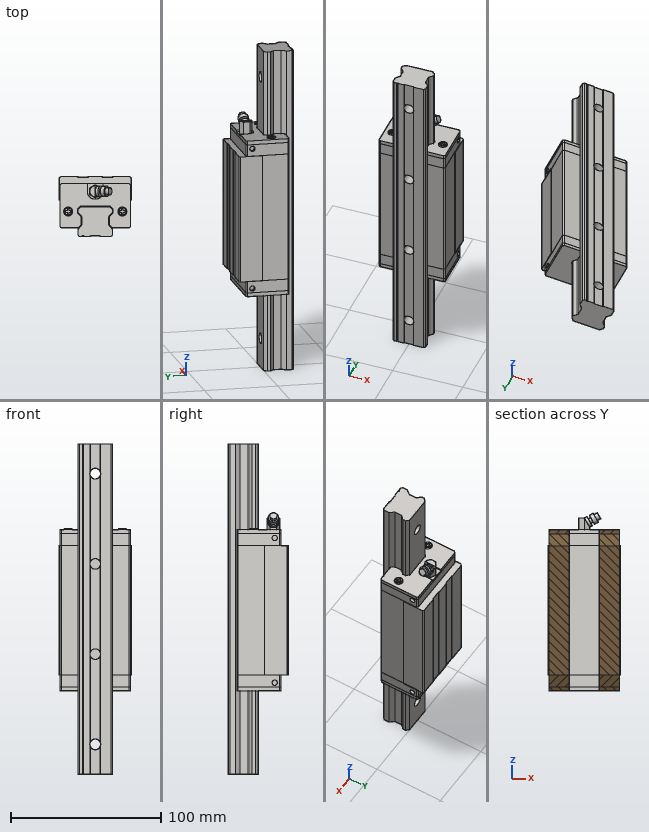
import cadquery as cq
import math

RAIL_LENGTH = 220.0
RAIL_WIDTH = 23.0
RAIL_HEIGHT = 20.0
RAIL_WAIST_WIDTH = 18.0
RAIL_TOP_CHAMFER = 2.0
RAIL_FOOT_CHAMFER = 1.0
HEAD_FLANK_BOTTOM = 15.8
HEAD_KNEE_WIDTH = 19.8
HEAD_KNEE_Y = 14.3
WAIST_TOP = 13.2
WAIST_BOTTOM = 8.0
FOOT_FLANK_TOP = 4.8
RAIL_HOLE_DIAMETER = 7.0
RAIL_HOLE_COUNT = 4
RAIL_HOLE_PITCH = 60.0
FOOT_GROOVE_WIDTH = 7.0
FOOT_GROOVE_FLOOR_WIDTH = 6.2
FOOT_GROOVE_DEPTH = 0.5
MARK_GROOVE_WIDTH = 0.9
MARK_GROOVE_DEPTH = 0.5
MARK_GROOVE_X = -8.1
RUNNING_CLEARANCE = 0.2

CARRIAGE_CENTRE_Z = -0.9
CARRIAGE_BOTTOM = 5.7
CARRIAGE_CHAMFER_X = 1.0
CARRIAGE_CHAMFER_Y = 0.9
BLOCK_LENGTH = 86.2
BLOCK_WIDTH = 48.0
BLOCK_TOP = 40.0
BLOCK_LOWER_WIDTH = 47.0
BLOCK_STEP_Y = 24.2
TOP_GROOVE_WIDTH = 6.8
TOP_GROOVE_DEPTH = 0.5
TOP_GROOVE_X = 8.1
CAP_LENGTH = 8.0
CAP_TOP = 35.2
SEAL_THICKNESS = 2.6
DIMPLE_DIAMETER = 3.5
DIMPLE_DEPTH = 2.2
DIMPLE_Y = 31.0
DIMPLE_FROM_BLOCK = 5.0

SCREW_X = 18.0
SCREW_Y = 16.7
SCREW_BASE_DIAMETER = 6.0
SCREW_TOP_DIAMETER = 4.8
SCREW_HEAD_HEIGHT = 0.7
CROSS_LENGTH = 3.3
CROSS_WIDTH = 1.0
CROSS_DEPTH = 0.5

NIPPLE_Y = 30.1
RECESS_WIDTH = 10.5
RECESS_DEPTH = 1.0
HEX_ACROSS_FLATS = 7.5
HEX_HEIGHT = 9.0
HEX_TOP_DIAMETER = 7.3
HEX_CHAMFER_ANGLE = 30.0
SPOUT_ELEVATION = 30.0
COLLAR_DIAMETER = 7.3
COLLAR_LENGTH = 2.0
NECK_DIAMETER = 3.5
NECK_LENGTH = 1.8
BULB_DIAMETER = 7.0
BULB_LENGTH = 2.9
TIP_DIAMETER = 4.8
TIP_LENGTH = 2.6

CAP_WIDTH = BLOCK_LOWER_WIDTH
BLOCK_END = BLOCK_LENGTH / 2
CAP_END = BLOCK_END + CAP_LENGTH
SEAL_END = CAP_END + SEAL_THICKNESS
SEAL_FACE_Z = CARRIAGE_CENTRE_Z + SEAL_END
RECESS_FLOOR_Z = SEAL_FACE_Z - RECESS_DEPTH


def mirrored_prism(right_side, z_start, length):
    """Prism along Z from the right half of an outline, listed from bottom to top."""
    left_side = [(-x, y) for x, y in reversed(right_side)]
    outline = cq.Workplane("XY", origin=(0, 0, z_start)).polyline(right_side + left_side)
    return outline.close().extrude(length)


def rail_prism(z_start, length):
    half_width = RAIL_WIDTH / 2
    half_waist = RAIL_WAIST_WIDTH / 2
    right_side = [
        (half_width - RAIL_FOOT_CHAMFER, 0),
        (half_width, RAIL_FOOT_CHAMFER),
        (half_width, FOOT_FLANK_TOP),
        (half_waist, WAIST_BOTTOM),
        (half_waist, WAIST_TOP),
        (HEAD_KNEE_WIDTH / 2, HEAD_KNEE_Y),
        (half_width, HEAD_FLANK_BOTTOM),
        (half_width, RAIL_HEIGHT - RAIL_TOP_CHAMFER),
        (half_width - RAIL_TOP_CHAMFER, RAIL_HEIGHT),
    ]
    return mirrored_prism(right_side, z_start, length)


def make_rail():
    start = -RAIL_LENGTH / 2
    foot_groove = mirrored_prism(
        [(FOOT_GROOVE_WIDTH / 2, 0), (FOOT_GROOVE_FLOOR_WIDTH / 2, FOOT_GROOVE_DEPTH)], start, RAIL_LENGTH
    )
    mark_groove = (
        cq.Workplane("XY", origin=(MARK_GROOVE_X, 0, start))
        .rect(MARK_GROOVE_WIDTH, 2 * MARK_GROOVE_DEPTH)
        .extrude(RAIL_LENGTH)
    )
    holes = (
        cq.Workplane("XZ")
        .rarray(2.2, RAIL_HOLE_PITCH, 1, RAIL_HOLE_COUNT)
        .circle(RAIL_HOLE_DIAMETER / 2)
        .extrude(-RAIL_HEIGHT)
    )
    return rail_prism(start, RAIL_LENGTH).cut(foot_groove).cut(mark_groove).cut(holes)


def cut_rail_passage(body):
    """Open the body for the rail, with a small running clearance all round."""
    passage = rail_prism(-RAIL_LENGTH / 2, RAIL_LENGTH).faces("<Z").wires().toPending()
    passage = passage.workplane(invert=True).offset2D(RUNNING_CLEARANCE, "intersection").extrude(RAIL_LENGTH)
    return body.cut(passage)


def make_block():
    half_width = BLOCK_WIDTH / 2
    half_lower = BLOCK_LOWER_WIDTH / 2
    right_side = [
        (half_lower - CARRIAGE_CHAMFER_X, CARRIAGE_BOTTOM),
        (half_lower, CARRIAGE_BOTTOM + CARRIAGE_CHAMFER_Y),
        (half_lower, BLOCK_STEP_Y),
        (half_width, BLOCK_STEP_Y),
        (half_width, BLOCK_TOP - CARRIAGE_CHAMFER_Y),
        (half_width - CARRIAGE_CHAMFER_X, BLOCK_TOP),
    ]
    start = CARRIAGE_CENTRE_Z - BLOCK_END
    grooves = (
        cq.Workplane("XY", origin=(0, BLOCK_TOP, start))
        .rarray(2 * TOP_GROOVE_X, 2.2, 2, 1)
        .rect(TOP_GROOVE_WIDTH, 2 * TOP_GROOVE_DEPTH)
        .extrude(BLOCK_LENGTH)
    )
    return cut_rail_passage(mirrored_prism(right_side, start, BLOCK_LENGTH).cut(grooves))


def end_plate(near, far, end):
    """Plate between two distances from the carriage centre; end is +1 (upper) or -1 (lower)."""
    start = CARRIAGE_CENTRE_Z + min(end * near, end * far)
    half_width = CAP_WIDTH / 2
    right_side = [
        (half_width - CARRIAGE_CHAMFER_X, CARRIAGE_BOTTOM),
        (half_width, CARRIAGE_BOTTOM + CARRIAGE_CHAMFER_Y),
        (half_width, CAP_TOP - CARRIAGE_CHAMFER_Y),
        (half_width - CARRIAGE_CHAMFER_X, CAP_TOP),
    ]
    return cut_rail_passage(mirrored_prism(right_side, start, far - near))


def make_end_cap(end):
    cap = end_plate(BLOCK_END, CAP_END, end)
    dimple_z = CARRIAGE_CENTRE_Z + end * (BLOCK_END + DIMPLE_FROM_BLOCK)
    for side in (-1, 1):
        dimple = (
            cq.Workplane("YZ", origin=(side * CAP_WIDTH / 2, DIMPLE_Y, dimple_z))
            .circle(DIMPLE_DIAMETER / 2)
            .extrude(-side * DIMPLE_DEPTH)
        )
        cap = cap.cut(dimple)
    return cap


def screw_head(x):
    """Tapered screw head with a cross recess, standing on the upper seal face."""
    top_z = SEAL_FACE_Z + SCREW_HEAD_HEIGHT
    head = (
        cq.Workplane("XY", origin=(x, SCREW_Y, SEAL_FACE_Z))
        .circle(SCREW_BASE_DIAMETER / 2)
        .workplane(offset=SCREW_HEAD_HEIGHT)
        .circle(SCREW_TOP_DIAMETER / 2)
        .loft()
    )
    for length_x, length_y in ((CROSS_LENGTH, CROSS_WIDTH), (CROSS_WIDTH, CROSS_LENGTH)):
        slot = cq.Workplane("XY", origin=(x, SCREW_Y, top_z)).rect(length_x, length_y).extrude(-CROSS_DEPTH)
        head = head.cut(slot)
    return head


def nipple_recess():
    """U-shaped pocket around the nipple, open towards the top of the seal."""
    radius = RECESS_WIDTH / 2
    return (
        cq.Workplane("XY", origin=(0, 0, RECESS_FLOOR_Z))
        .moveTo(-radius, CAP_TOP)
        .lineTo(-radius, NIPPLE_Y)
        .threePointArc((0, NIPPLE_Y - radius), (radius, NIPPLE_Y))
        .lineTo(radius, CAP_TOP)
        .close()
        .extrude(RECESS_DEPTH)
    )


def make_end_seal(end):
    return end_plate(CAP_END, SEAL_END, end)


def make_upper_seal():
    """Seal of the nipple end, carrying the nipple recess and the two screw heads."""
    seal = make_end_seal(1).cut(nipple_recess())
    for side in (-1, 1):
        seal = seal.union(screw_head(side * SCREW_X))
    return seal


def hex_pillar():
    """Hexagon with corners towards +Y and -Y, its top corners bevelled by a cone."""
    corner_radius = HEX_ACROSS_FLATS / math.sqrt(3)
    pillar = (
        cq.Workplane("XY", origin=(0, NIPPLE_Y, RECESS_FLOOR_Z))
        .transformed(rotate=(0, 0, 90))
        .polygon(6, 2 * corner_radius)
        .extrude(HEX_HEIGHT)
    )
    top_radius = HEX_TOP_DIAMETER / 2
    slope = math.tan(math.radians(HEX_CHAMFER_ANGLE))
    cone_radius = top_radius + HEX_HEIGHT / slope
    bevel_cone = cq.Solid.makeCone(cone_radius, top_radius, HEX_HEIGHT, cq.Vector(0, NIPPLE_Y, RECESS_FLOOR_Z))
    return pillar.intersect(cq.Workplane(bevel_cone))


def make_nipple():
    """Hexagonal elbow with a slanted seat and a stepped spout pointing to +X and up."""
    top_z = RECESS_FLOOR_Z + HEX_HEIGHT
    elevation = math.radians(SPOUT_ELEVATION)
    axis = cq.Vector(math.cos(elevation), 0, math.sin(elevation))
    seat_width = HEX_ACROSS_FLATS / 2 / math.sin(elevation)
    seat_top = cq.Vector(0, NIPPLE_Y, top_z)
    down_seat = cq.Vector(math.sin(elevation), 0, -math.cos(elevation))
    seat_middle = seat_top + down_seat * (seat_width / 2)
    seat_plane = cq.Plane(origin=seat_middle, xDir=(0, 1, 0), normal=axis)

    above_seat = cq.Workplane(seat_plane).rect(2 * HEX_ACROSS_FLATS, seat_width).extrude(HEX_HEIGHT)
    nipple = hex_pillar().cut(above_seat)

    steps = (
        (COLLAR_DIAMETER, COLLAR_LENGTH),
        (NECK_DIAMETER, NECK_LENGTH),
        (BULB_DIAMETER, BULB_LENGTH),
        (TIP_DIAMETER, TIP_LENGTH),
    )
    distance = 0.0
    for diameter, length in steps:
        step = cq.Workplane(seat_plane).workplane(offset=distance).circle(diameter / 2).extrude(length)
        nipple = nipple.union(step)
        distance += length
    return nipple


rail = make_rail()
block = make_block()
end_caps = [make_end_cap(end) for end in (-1, 1)]
upper_seal = make_upper_seal()
lower_seal = make_end_seal(-1)
nipple = make_nipple()

result = cq.Compound.makeCompound(
    [
        rail.val(),
        block.val(),
        *[cap.val() for cap in end_caps],
        upper_seal.val(),
        lower_seal.val(),
        nipple.val(),
    ]
)